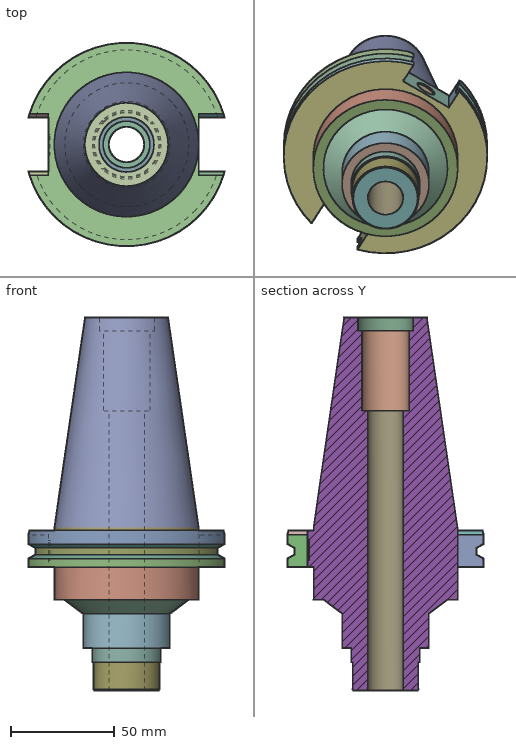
import cadquery as cq
import math

GAUGE_DIA = 69.85
TAPER_LENGTH = 101.6
TAPER_PER_LENGTH = 7 / 24
SMALL_END_DIA = GAUGE_DIA - TAPER_LENGTH * TAPER_PER_LENGTH

FLANGE_DIA = 98.42
FLANGE_TOP = -1.3
FLANGE_BOTTOM = -19.05
GROOVE_FLOOR_DIA = 91.8
GROOVE_CENTER_Z = -11.4
GROOVE_MOUTH_WIDTH = 7.0
GROOVE_WALL_ANGLE = 30

SLOT_WIDTH = 25.9
SLOT_FLOOR_LEFT = 37.7
SLOT_FLOOR_RIGHT = 35.0
SLOT_EDGE_CHAMFER = 2.0

RECESS_DIA = 9.7
RECESS_DEPTH = 0.65
RECESS_Z = -10.8

COLLAR_DIA = GAUGE_DIA
COLLAR_LENGTH = 15.8
NECK_CONE_TOP_DIA = 60.0
NECK_DIA = 42.0
NECK_CONE_LENGTH = 6.75
NECK_LENGTH = 16.65
PILOT_DIA = 33.3
PILOT_LENGTH = 6.9
TIP_DIA = 32.0
TIP_CHAMFER = 0.5
OVERALL_LENGTH = 180.3

BORE_DIA = 17.0
THREAD_BORE_DIA = 22.6
THREAD_BORE_DEPTH = 45.0
COUNTERBORE_DIA = 26.6
COUNTERBORE_DEPTH = 6.4

SHANK_TOP = TAPER_LENGTH
TIP_BOTTOM = SHANK_TOP - OVERALL_LENGTH


def make_body():
    """Revolve the outer half profile around Z."""
    flange_radius = FLANGE_DIA / 2
    groove_radius = GROOVE_FLOOR_DIA / 2
    groove_depth = flange_radius - groove_radius
    mouth_half = GROOVE_MOUTH_WIDTH / 2
    floor_half = mouth_half - groove_depth * math.tan(math.radians(GROOVE_WALL_ANGLE))

    collar_bottom = FLANGE_BOTTOM - COLLAR_LENGTH
    neck_top = collar_bottom - NECK_CONE_LENGTH
    neck_bottom = neck_top - NECK_LENGTH
    pilot_bottom = neck_bottom - PILOT_LENGTH

    profile = [
        (0, SHANK_TOP),
        (SMALL_END_DIA / 2, SHANK_TOP),
        (GAUGE_DIA / 2, 0),
        (GAUGE_DIA / 2, FLANGE_TOP),
        (flange_radius, FLANGE_TOP),
        (flange_radius, GROOVE_CENTER_Z + mouth_half),
        (groove_radius, GROOVE_CENTER_Z + floor_half),
        (groove_radius, GROOVE_CENTER_Z - floor_half),
        (flange_radius, GROOVE_CENTER_Z - mouth_half),
        (flange_radius, FLANGE_BOTTOM),
        (COLLAR_DIA / 2, FLANGE_BOTTOM),
        (COLLAR_DIA / 2, collar_bottom),
        (NECK_CONE_TOP_DIA / 2, collar_bottom),
        (NECK_DIA / 2, neck_top),
        (NECK_DIA / 2, neck_bottom),
        (PILOT_DIA / 2, neck_bottom),
        (PILOT_DIA / 2, pilot_bottom),
        (TIP_DIA / 2, pilot_bottom),
        (TIP_DIA / 2, TIP_BOTTOM + TIP_CHAMFER),
        (TIP_DIA / 2 - TIP_CHAMFER, TIP_BOTTOM),
        (0, TIP_BOTTOM),
    ]
    return cq.Workplane("XZ").polyline(profile).close().revolve(360, (0, 0), (0, 1))


def make_slot_cutter(side, floor_distance):
    """Drive slot through the flange; side is -1 or +1 along X."""
    half_width = SLOT_WIDTH / 2
    mouth_half = half_width + SLOT_EDGE_CHAMFER
    section = [
        (-half_width, FLANGE_BOTTOM),
        (half_width, FLANGE_BOTTOM),
        (half_width, FLANGE_TOP - SLOT_EDGE_CHAMFER),
        (mouth_half, FLANGE_TOP),
        (-mouth_half, FLANGE_TOP),
        (-half_width, FLANGE_TOP - SLOT_EDGE_CHAMFER),
    ]
    slot_depth = FLANGE_DIA / 2 - floor_distance
    return (
        cq.Workplane("YZ")
        .workplane(offset=side * floor_distance)
        .polyline(section)
        .close()
        .extrude(side * slot_depth)
    )


def make_recess_cutter():
    """Round recess running inward from the floor of the left slot."""
    return (
        cq.Workplane("YZ")
        .workplane(offset=-SLOT_FLOOR_LEFT)
        .center(0, RECESS_Z)
        .circle(RECESS_DIA / 2)
        .extrude(RECESS_DEPTH)
    )


def make_bore_cutter(diameter, depth):
    """Axial bore of the given depth, measured from the small end."""
    return (
        cq.Workplane("XY")
        .workplane(offset=SHANK_TOP)
        .circle(diameter / 2)
        .extrude(-depth)
    )


result = make_body()
for side, floor_distance in ((-1, SLOT_FLOOR_LEFT), (1, SLOT_FLOOR_RIGHT)):
    result = result.cut(make_slot_cutter(side, floor_distance))
result = result.cut(make_recess_cutter())
for diameter, depth in (
    (BORE_DIA, OVERALL_LENGTH),
    (THREAD_BORE_DIA, THREAD_BORE_DEPTH),
    (COUNTERBORE_DIA, COUNTERBORE_DEPTH),
):
    result = result.cut(make_bore_cutter(diameter, depth))